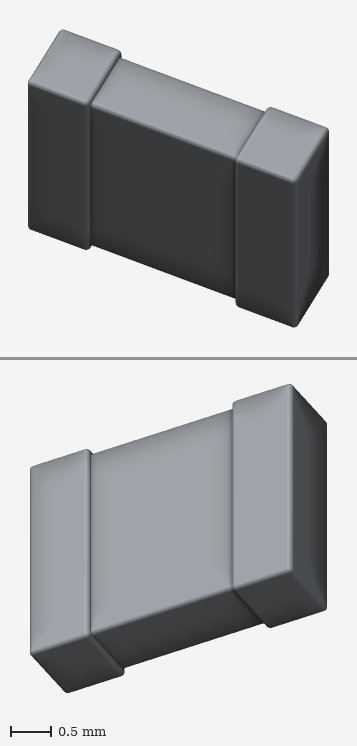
import cadquery as cq

length = 3.7
depth = 0.98
height = 2.9

terminal_length = 0.85
terminal_step = 0.06
edge_radius = 0.06

body_length = length - 2 * terminal_length
body_depth = depth - 2 * terminal_step
body_height = height - 2 * terminal_step


def make_body():
    """Ceramic block between the terminals, rounded along its edges in X."""
    return (
        cq.Workplane("XY")
        .box(body_length, body_depth, body_height)
        .edges("|X")
        .fillet(edge_radius)
    )


def make_terminal(side):
    """Metal end block with all edges rounded; side is -1 or +1 along X."""
    center_x = side * (length - terminal_length) / 2
    return (
        cq.Workplane("XY")
        .box(terminal_length, depth, height)
        .edges()
        .fillet(edge_radius)
        .translate((center_x, 0, 0))
    )


body = make_body()
terminals = [make_terminal(side) for side in (-1, 1)]

result = cq.Compound.makeCompound([body.val(), *[terminal.val() for terminal in terminals]])